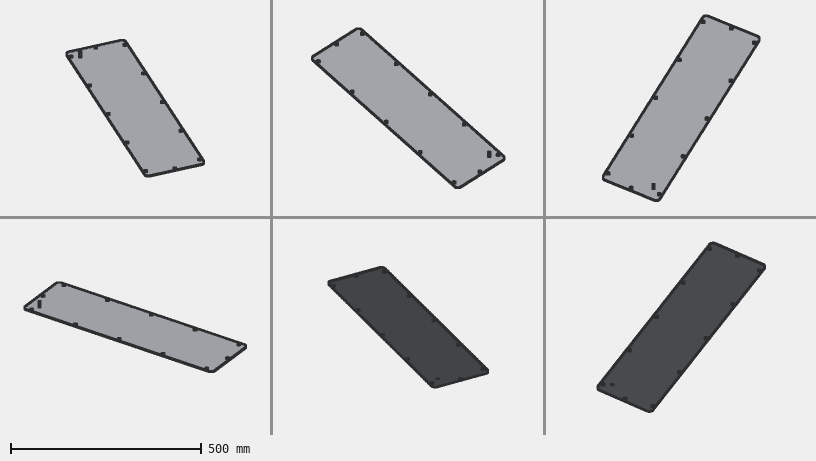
import cadquery as cq

plate_length = 600
plate_width = 167.0
plate_thickness = 3.0
corner_radius = 11.0

hole_diameter = 7.0
holes_per_row = 5
hole_pitch = 138.5
row_offset = 75.5
end_hole_offset = 292.0

overall_height = 19.0
pin_diameter = 6.0
pin_chamfer = 0.9
pin_x = -267.0
pin_y = -53.5


def make_plate():
    """Flat plate with rounded corners."""
    plate = cq.Workplane("XY").rect(plate_length, plate_width).extrude(plate_thickness)
    return plate.edges("|Z").fillet(corner_radius)


def hole_positions():
    """Two long rows of holes plus one hole at the middle of each short side."""
    middle_index = (holes_per_row - 1) / 2
    positions = [(-end_hole_offset, 0), (end_hole_offset, 0)]
    for index in range(holes_per_row):
        x = (index - middle_index) * hole_pitch
        positions.append((x, -row_offset))
        positions.append((x, row_offset))
    return positions


def make_holes():
    """Cutters that pass through the whole plate."""
    return (
        cq.Workplane("XY")
        .pushPoints(hole_positions())
        .circle(hole_diameter / 2)
        .extrude(plate_thickness)
    )


def make_pin():
    """Round pin with a chamfered tip, rooted in the plate."""
    pin = cq.Workplane("XY").center(pin_x, pin_y).circle(pin_diameter / 2).extrude(overall_height)
    return pin.faces(">Z").chamfer(pin_chamfer)


result = make_plate().cut(make_holes()).union(make_pin())